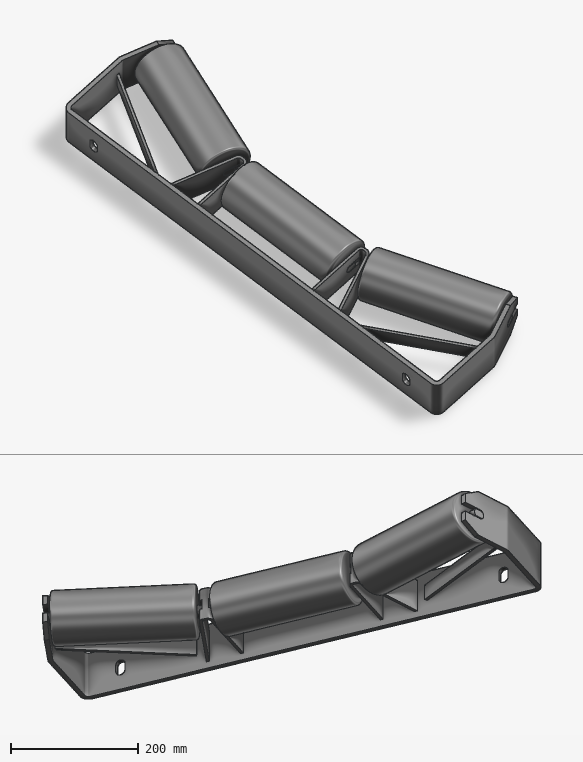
import cadquery as cq
import math

FRAME_LENGTH = 800.0
FRAME_WIDTH = 80.0
FRAME_THICKNESS = 8.0
FRAME_BEND_RADIUS = 14.0
WALL_HEIGHT = 134.0
ARM_TOP = 222.0
ARM_CORNER_LENGTH = 29.0
ARM_CORNER_WIDTH = 16.0
MOUNT_SLOT_SPACING = 666.0
MOUNT_SLOT_WIDTH = 16.0
MOUNT_SLOT_LENGTH = 27.0

TROUGH_ANGLE = 20.0
ROLLER_LENGTH = 230.0
ROLLER_DIAMETER = 89.0
ROLLER_FILLET = 5.0
AXLE_DIAMETER = 21.0
AXLE_FLATS = 13.0
END_GAP = 4.0
CENTRE_ROLLER_Y = 101.0
SIDE_ROLLER_Y = 150.0

AXLE_SLOT_WIDTH = 16.0
AXLE_SLOT_DEPTH = 10.0
AXLE_SLOT_REACH = 80.0

BRACKET_WIDTH = 56.0
BRACKET_THICKNESS = 5.0
BRACKET_TOP = 129.0
BRACKET_BEND_RADIUS = 10.0

STRUT_THICKNESS = 5.0
STRUT_WIDTH = 26.0
STRUT_ANGLE = 30.0
STRUT_TOP = 124.0

SUPPORT_DISTANCE = ROLLER_LENGTH / 2 + END_GAP
TROUGH_SIN = math.sin(math.radians(TROUGH_ANGLE))
TROUGH_COS = math.cos(math.radians(TROUGH_ANGLE))
TROUGH_TAN = TROUGH_SIN / TROUGH_COS
ARM_DISTANCE = SUPPORT_DISTANCE + FRAME_THICKNESS
ARM_REACH = (ARM_DISTANCE + (SIDE_ROLLER_Y - WALL_HEIGHT) * TROUGH_SIN) / TROUGH_COS
SIDE_ROLLER_X = FRAME_LENGTH / 2 - ARM_REACH


def offset_path(points, distance):
    """Shift an open path to its left by a distance, with mitred corners."""
    normals = []
    for (x0, y0), (x1, y1) in zip(points, points[1:]):
        length = math.hypot(x1 - x0, y1 - y0)
        normals.append(((y0 - y1) / length, (x1 - x0) / length))
    before = [normals[0]] + normals
    after = normals + [normals[-1]]
    shifted = []
    for (x, y), (ax, ay), (bx, by) in zip(points, before, after):
        mitre = distance / (1 + ax * bx + ay * by)
        shifted.append((x + mitre * (ax + bx), y + mitre * (ay + by)))
    return shifted


def trace_rounded(sketch, points, radius):
    """Continue a sketch from the first point to the last, rounding each corner between."""
    for previous, corner, following in zip(points, points[1:], points[2:]):
        corner = cq.Vector(*corner)
        back = (cq.Vector(*previous) - corner).normalized()
        ahead = (cq.Vector(*following) - corner).normalized()
        setback = radius / math.tan(back.getAngle(ahead) / 2)
        arc_start = corner + back * setback
        arc_end = corner + ahead * setback
        sketch = sketch.lineTo(arc_start.x, arc_start.y)
        sketch = sketch.tangentArcPoint((arc_end.x, arc_end.y), relative=False)
    return sketch.lineTo(*points[-1])


def bent_strip(outer_points, width, thickness, outer_radius):
    """Bend a strip along its outer face; the strip lies left of the path."""
    inner_points = offset_path(outer_points, thickness)[::-1]
    sketch = cq.Workplane("XY").moveTo(*outer_points[0])
    sketch = trace_rounded(sketch, outer_points, outer_radius)
    sketch = sketch.lineTo(*inner_points[0])
    sketch = trace_rounded(sketch, inner_points, outer_radius - thickness)
    return sketch.close().extrude(width / 2, both=True)


def mirrored(body):
    return body.mirror("YZ")


def at_left_roller(body):
    """Move a body from the centre of a level roller to the left roller."""
    turned = body.rotate((0, 0, 0), (0, 0, 1), -TROUGH_ANGLE)
    return turned.translate((-SIDE_ROLLER_X, SIDE_ROLLER_Y, 0))


def at_centre_roller(body):
    return body.translate((0, CENTRE_ROLLER_Y, 0))


def axle_slot(thickness):
    """Cutter for the open slot in the plate at the left end of a level roller."""
    radius = AXLE_SLOT_WIDTH / 2
    floor_centre = radius - AXLE_SLOT_DEPTH
    return (
        cq.Workplane("YZ", origin=(-SUPPORT_DISTANCE, 0, 0))
        .moveTo(AXLE_SLOT_REACH, radius)
        .lineTo(floor_centre, radius)
        .threePointArc((-AXLE_SLOT_DEPTH, 0), (floor_centre, -radius))
        .lineTo(AXLE_SLOT_REACH, -radius)
        .close()
        .extrude(-thickness)
    )


def arm_corner():
    """Cutter for the upper bevel at the end of the left arm, in the left roller's frame."""
    end = (ARM_TOP - SIDE_ROLLER_Y - ARM_DISTANCE * TROUGH_SIN) / TROUGH_COS
    edge = FRAME_WIDTH / 2
    return (
        cq.Workplane("YZ", origin=(-SUPPORT_DISTANCE, 0, 0))
        .moveTo(end, edge)
        .lineTo(end - ARM_CORNER_LENGTH, edge)
        .lineTo(end, edge - ARM_CORNER_WIDTH)
        .close()
        .extrude(-FRAME_THICKNESS)
    )


def make_frame():
    half_length = FRAME_LENGTH / 2
    lean = (ARM_TOP - WALL_HEIGHT) * TROUGH_TAN
    left_side = [(-half_length + lean, ARM_TOP), (-half_length, WALL_HEIGHT), (-half_length, 0)]
    right_side = [(-x, y) for x, y in reversed(left_side)]
    frame = bent_strip(left_side + right_side, FRAME_WIDTH, FRAME_THICKNESS, FRAME_BEND_RADIUS)
    upper_corner = arm_corner()
    for local_cutter in (axle_slot(FRAME_THICKNESS), upper_corner, upper_corner.mirror("XY")):
        cutter = at_left_roller(local_cutter)
        frame = frame.cut(cutter).cut(mirrored(cutter))
    mount_slots = (
        cq.Workplane("XZ")
        .pushPoints([(-MOUNT_SLOT_SPACING / 2, 0), (MOUNT_SLOT_SPACING / 2, 0)])
        .slot2D(MOUNT_SLOT_LENGTH, MOUNT_SLOT_WIDTH, 90)
        .extrude(-FRAME_THICKNESS)
    )
    return frame.cut(mount_slots)


def make_left_bracket():
    upright_x = -SUPPORT_DISTANCE
    seat_x = -SIDE_ROLLER_X + SUPPORT_DISTANCE * TROUGH_COS
    seat_y = SIDE_ROLLER_Y - SUPPORT_DISTANCE * TROUGH_SIN

    def leaning_point(y):
        return (seat_x + (y - seat_y) * TROUGH_TAN, y)

    outer_points = [
        (upright_x, 0),
        (upright_x, BRACKET_TOP),
        leaning_point(BRACKET_TOP),
        leaning_point(0),
    ]
    bracket = bent_strip(outer_points, BRACKET_WIDTH, BRACKET_THICKNESS, BRACKET_BEND_RADIUS)
    below_base = cq.Workplane("XY").box(FRAME_LENGTH, 2 * FRAME_THICKNESS, FRAME_WIDTH)
    slot = axle_slot(BRACKET_THICKNESS)
    return (
        bracket.cut(below_base)
        .cut(at_centre_roller(slot))
        .cut(at_left_roller(mirrored(slot)))
    )


def make_left_strut():
    wall_x = -FRAME_LENGTH / 2 + FRAME_THICKNESS
    angle = math.radians(STRUT_ANGLE)
    drop = STRUT_THICKNESS / math.cos(angle)
    toe_x = wall_x + (STRUT_TOP - drop - FRAME_THICKNESS) / math.tan(angle)
    heel_x = toe_x + STRUT_THICKNESS * math.sin(angle)
    heel_y = FRAME_THICKNESS + STRUT_THICKNESS * math.cos(angle)
    outline = [(wall_x, STRUT_TOP), (wall_x, STRUT_TOP - drop), (toe_x, FRAME_THICKNESS), (heel_x, heel_y)]
    return cq.Workplane("XY").polyline(outline).close().extrude(STRUT_WIDTH / 2, both=True)


def axle_end(thickness):
    """Left axle end of a level roller: flatted, and bedded on the round floor of its slot."""
    return (
        cq.Workplane("YZ", origin=(-SUPPORT_DISTANCE, 0, 0))
        .circle(AXLE_DIAMETER / 2)
        .extrude(-thickness)
        .intersect(cq.Workplane("XY").box(FRAME_LENGTH, AXLE_DIAMETER, AXLE_FLATS))
        .intersect(axle_slot(thickness))
    )


def make_roller(left_thickness, right_thickness):
    """Level roller whose axle ends fill the thickness of the plates that carry it."""
    shell = (
        cq.Workplane("YZ", origin=(-ROLLER_LENGTH / 2, 0, 0))
        .circle(ROLLER_DIAMETER / 2)
        .extrude(ROLLER_LENGTH)
        .faces("|X")
        .edges()
        .fillet(ROLLER_FILLET)
    )
    axle = cq.Workplane("YZ").circle(AXLE_DIAMETER / 2).extrude(SUPPORT_DISTANCE, both=True)
    return (
        shell.union(axle)
        .union(axle_end(left_thickness))
        .union(mirrored(axle_end(right_thickness)))
    )


frame = make_frame()

left_bracket = make_left_bracket()
brackets = [left_bracket, mirrored(left_bracket)]

left_strut = make_left_strut()
struts = [left_strut, mirrored(left_strut)]

centre_roller = at_centre_roller(make_roller(BRACKET_THICKNESS, BRACKET_THICKNESS))
left_roller = at_left_roller(make_roller(FRAME_THICKNESS, BRACKET_THICKNESS))
rollers = [left_roller, centre_roller, mirrored(left_roller)]

bodies = [frame, *brackets, *struts, *rollers]
result = cq.Compound.makeCompound([body.solids().val() for body in bodies])